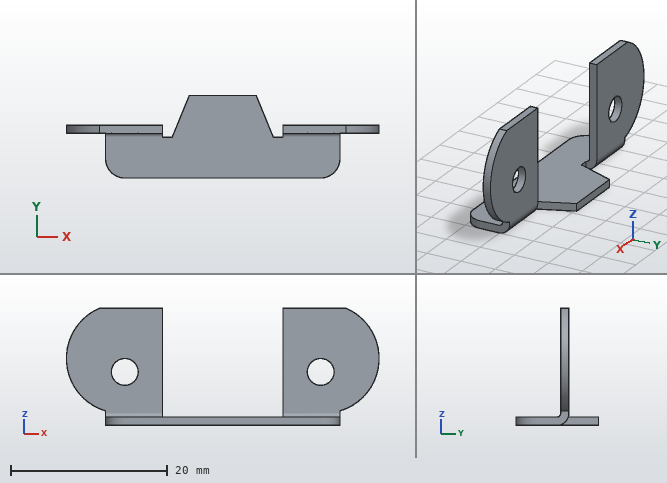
import cadquery as cq
import math

sheet_thickness = 1.08
bend_inner_radius = 0.48
bend_outer_radius = bend_inner_radius + sheet_thickness

overall_length = 39.97
overall_depth = 10.6
overall_height = 15.0

base_half_length = 15.0
base_corner_radius = 2.5
bend_start_y = 5.25

tongue_root_half_width = 6.48
tongue_tip_half_width = 4.28

ear_inner_x = 7.67
ear_radius = 7.0
ear_center_x = overall_length / 2 - ear_radius
ear_center_z = 8.55
hole_diameter = 3.4
hole_x = 12.5
hole_z = 6.85

ear_front_y = bend_start_y + bend_inner_radius
ear_back_y = bend_start_y + bend_outer_radius


def make_base():
    """Flat plate with two rounded front corners and a tapered rear tongue."""
    plate = (
        cq.Workplane("XY")
        .rect(2 * base_half_length, bend_start_y)
        .extrude(sheet_thickness)
        .translate((0, bend_start_y / 2, 0))
        .edges("|Z and <Y")
        .fillet(base_corner_radius)
    )
    tongue = (
        cq.Workplane("XY")
        .moveTo(-tongue_root_half_width, bend_start_y)
        .lineTo(-tongue_tip_half_width, overall_depth)
        .lineTo(tongue_tip_half_width, overall_depth)
        .lineTo(tongue_root_half_width, bend_start_y)
        .close()
        .extrude(sheet_thickness)
    )
    return plate.union(tongue)


def make_bend():
    """Quarter-round bend joining the base to the right-hand ear."""
    diagonal = math.sqrt(0.5)
    bend_width = base_half_length - ear_inner_x
    return (
        cq.Workplane("YZ", origin=(ear_inner_x, 0, 0))
        .moveTo(bend_start_y, 0)
        .threePointArc(
            (bend_start_y + bend_outer_radius * diagonal, bend_outer_radius * (1 - diagonal)),
            (ear_back_y, bend_outer_radius),
        )
        .lineTo(ear_front_y, bend_outer_radius)
        .threePointArc(
            (bend_start_y + bend_inner_radius * diagonal, bend_outer_radius - bend_inner_radius * diagonal),
            (bend_start_y, sheet_thickness),
        )
        .close()
        .extrude(bend_width)
    )


def make_ear():
    """Upright right-hand ear with a round outer side, flat top and pierced hole."""
    arc_bottom_z = ear_center_z - math.sqrt(ear_radius**2 - (base_half_length - ear_center_x)**2)
    arc_top_x = ear_center_x + math.sqrt(ear_radius**2 - (overall_height - ear_center_z)**2)
    ear = (
        cq.Workplane("XZ", origin=(0, ear_front_y, 0))
        .moveTo(ear_inner_x, bend_outer_radius)
        .lineTo(base_half_length, bend_outer_radius)
        .lineTo(base_half_length, arc_bottom_z)
        .threePointArc((overall_length / 2, ear_center_z), (arc_top_x, overall_height))
        .lineTo(ear_inner_x, overall_height)
        .close()
        .extrude(-sheet_thickness)
    )
    hole = (
        cq.Workplane("XZ", origin=(0, ear_front_y, 0))
        .center(hole_x, hole_z)
        .circle(hole_diameter / 2)
        .extrude(-sheet_thickness)
    )
    return ear.cut(hole)


right_flange = make_bend().union(make_ear())
left_flange = right_flange.mirror("YZ")
result = make_base().union(right_flange).union(left_flange)